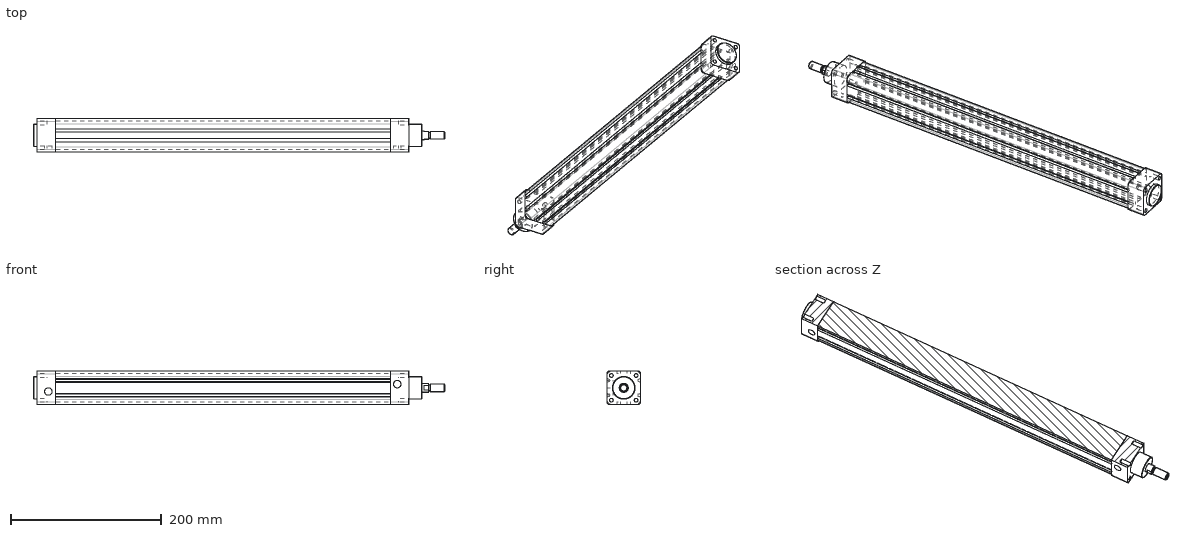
import cadquery as cq

total_length = 546.0
cap_length = 24.5
tube_length = 444.5
rear_collar_length = 4.5
front_collar_length = 17.5

rear_cap_start = rear_collar_length
tube_start = rear_cap_start + cap_length
front_cap_start = tube_start + tube_length
front_cap_end = front_cap_start + cap_length
rod_start = front_cap_end + front_collar_length

side = 45.0
half_side = side / 2
cap_corner_radius = 4.0
collar_diameter = 30.0
collar_chamfer = 0.5
screw_spacing = 33.0
screw_hole_diameter = 5.0
screw_hole_depth = 13.5
port_diameter = 10.0
port_depth = 8.0
port_height = 5.0
port_to_tube = 9.5

tube_corner_radius = 7.0
side_slot_width = 5.0
side_slot_offset = 10.0
side_slot_floor_width = 3.0
side_slot_depth = 3.5
top_slot_width = 4.5
top_slot_offset = 6.5
top_slot_depth = 3.5

rod_diameter = 12.0
shank_length = 9.0
across_flats = 10.5
flats_setback = 3.0
thread_diameter = 10.5
thread_chamfer = 1.0
neck_length = 1.5
neck_diameter = thread_diameter - 2 * thread_chamfer


def cylinder_along_x(start, length, diameter):
    return cq.Workplane("YZ", origin=(start, 0, 0)).circle(diameter / 2).extrude(length)


def square_bar(start, length, corner_radius):
    bar = cq.Workplane("YZ", origin=(start, 0, 0)).rect(side, side).extrude(length)
    return bar.edges("|X").fillet(corner_radius)


def make_cap(outer_face, outward, collar_length, port_z):
    """End cap with a round collar; outward is +1 or -1, the X direction away from the tube."""
    tube_face = outer_face - outward * cap_length
    cap = square_bar(tube_face, outward * cap_length, cap_corner_radius)

    collar = cylinder_along_x(outer_face, outward * collar_length, collar_diameter)
    collar_end = ">X" if outward > 0 else "<X"
    collar = collar.faces(collar_end).chamfer(collar_chamfer)

    screw_holes = (
        cq.Workplane("YZ", origin=(outer_face, 0, 0))
        .rect(screw_spacing, screw_spacing, forConstruction=True)
        .vertices()
        .circle(screw_hole_diameter / 2)
        .extrude(-outward * screw_hole_depth)
    )

    port_x = tube_face + outward * port_to_tube
    port = (
        cq.Workplane("XZ", origin=(port_x, -half_side, port_z))
        .circle(port_diameter / 2)
        .extrude(-port_depth)
    )
    return cap.union(collar).cut(screw_holes).cut(port)


def slot_cutter(mouth_width, floor_width, depth, offset):
    """Slot along the tube in its top face, centred offset to one side of the middle."""
    half_mouth = mouth_width / 2
    half_floor = floor_width / 2
    profile = (
        cq.Workplane("YZ", origin=(tube_start, offset, half_side))
        .moveTo(-half_mouth, 0)
        .lineTo(half_mouth, 0)
        .lineTo(half_floor, -depth)
        .lineTo(-half_floor, -depth)
        .close()
    )
    return profile.extrude(tube_length)


def make_tube():
    tube = square_bar(tube_start, tube_length, tube_corner_radius)
    for row in (-1, 1):
        top_slot = slot_cutter(top_slot_width, top_slot_width, top_slot_depth, row * top_slot_offset)
        side_slot = slot_cutter(
            side_slot_width, side_slot_floor_width, side_slot_depth, row * side_slot_offset
        )
        for turn in (0, 180):
            tube = tube.cut(top_slot.rotate((0, 0, 0), (1, 0, 0), turn))
            tube = tube.cut(side_slot.rotate((0, 0, 0), (1, 0, 0), turn + 90))
    return tube


def make_rod():
    flats_length = shank_length - flats_setback
    flats_start = rod_start + flats_setback
    round_part = cylinder_along_x(rod_start, flats_setback, rod_diameter)
    flats_limits = (
        cq.Workplane("YZ", origin=(flats_start, 0, 0)).rect(across_flats, rod_diameter).extrude(flats_length)
    )
    flat_part = cylinder_along_x(flats_start, flats_length, rod_diameter).intersect(flats_limits)
    shank = round_part.union(flat_part)

    neck_start = rod_start + shank_length
    neck = cylinder_along_x(neck_start, neck_length, neck_diameter)

    thread_start = neck_start + neck_length
    thread = cylinder_along_x(thread_start, total_length - thread_start, thread_diameter)
    thread = thread.faces("<X or >X").chamfer(thread_chamfer)
    return shank.union(neck).union(thread)


rear_cap = make_cap(rear_cap_start, -1, rear_collar_length, -port_height)
tube = make_tube()
front_cap = make_cap(front_cap_end, 1, front_collar_length, port_height)
rod = make_rod()

result = cq.Compound.makeCompound([rear_cap.val(), tube.val(), front_cap.val(), rod.val()])